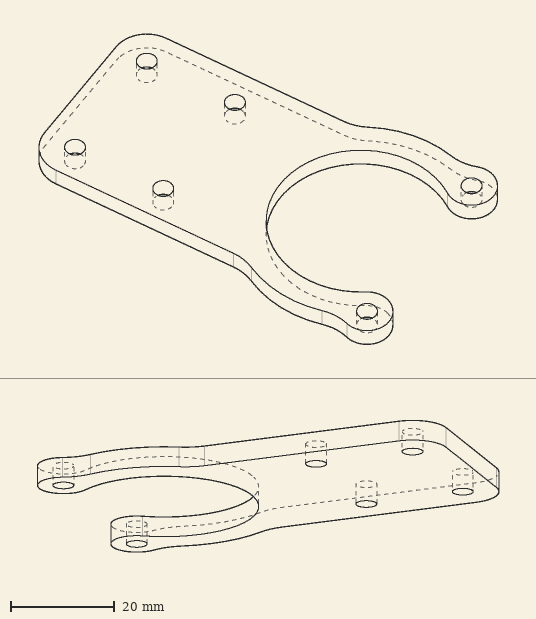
import cadquery as cq
import math

length = 82.05
thickness = 4.0
plate_width = 40.0
corner_radius = 7.0
hole_diameter = 4.0
hole_edge_offset = 7.0
hole_spacing_x = 20.0
bore_radius = 18.2
ring_radius = 24.2
tab_radius = 5.0
tab_angle = math.radians(55)
blend_radius = 10.0

half_width = plate_width / 2
tab_distance = bore_radius + tab_radius
tab_x = length - tab_radius
tab_y = tab_distance * math.sin(tab_angle)
ring_center = (tab_x - tab_distance * math.cos(tab_angle), 0.0)
tab_center = (tab_x, tab_y)


def toward(start, target, distance):
    """Point at a distance from start, in the direction of target."""
    span = math.dist(start, target)
    return tuple(a + (b - a) * distance / span for a, b in zip(start, target))


def arc_middle(center, radius, start, end):
    """Middle of the shorter arc between two points on a circle."""
    chord_middle = tuple((a + b) / 2 for a, b in zip(start, end))
    return toward(center, chord_middle, radius)


def mirror(point):
    return (point[0], -point[1])


blend_reach = ring_radius + blend_radius
plate_blend_y = half_width + blend_radius
plate_blend_x = ring_center[0] - math.sqrt(blend_reach**2 - plate_blend_y**2)
plate_blend = (plate_blend_x, plate_blend_y)
edge_end = (plate_blend_x, half_width)
ring_start = toward(ring_center, plate_blend, ring_radius)

tab_reach = tab_radius + blend_radius
cos_offset = (blend_reach**2 + tab_distance**2 - tab_reach**2) / (2 * blend_reach * tab_distance)
tab_blend_angle = tab_angle + math.acos(cos_offset)
tab_blend = (
    ring_center[0] + blend_reach * math.cos(tab_blend_angle),
    blend_reach * math.sin(tab_blend_angle),
)
ring_end = toward(ring_center, tab_blend, ring_radius)
tab_start = toward(tab_center, tab_blend, tab_radius)
tab_tip = (length, tab_y)
tab_end = toward(tab_center, ring_center, tab_radius)

upper_arcs = [
    (arc_middle(plate_blend, blend_radius, edge_end, ring_start), ring_start),
    (arc_middle(ring_center, ring_radius, ring_start, ring_end), ring_end),
    (arc_middle(tab_blend, blend_radius, ring_end, tab_start), tab_start),
    (tab_tip, tab_end),
]


def make_plate():
    outline = cq.Workplane("XY").moveTo(0, half_width).lineTo(*edge_end)
    for middle, end in upper_arcs:
        outline = outline.threePointArc(middle, end)
    bore_back = (ring_center[0] - bore_radius, 0)
    outline = outline.threePointArc(bore_back, mirror(tab_end))

    arc_starts = [edge_end] + [end for _, end in upper_arcs[:-1]]
    for start, (middle, _) in reversed(list(zip(arc_starts, upper_arcs))):
        outline = outline.threePointArc(mirror(middle), mirror(start))
    plate = outline.lineTo(0, -half_width).close().extrude(thickness)
    return plate.edges("|Z and <X").fillet(corner_radius)


def make_holes():
    mount_y = half_width - hole_edge_offset
    upper_holes = [
        (hole_edge_offset, mount_y),
        (hole_edge_offset + hole_spacing_x, mount_y),
        tab_center,
    ]
    centers = upper_holes + [mirror(point) for point in upper_holes]
    return cq.Workplane("XY").pushPoints(centers).circle(hole_diameter / 2).extrude(thickness)


result = make_plate().cut(make_holes())